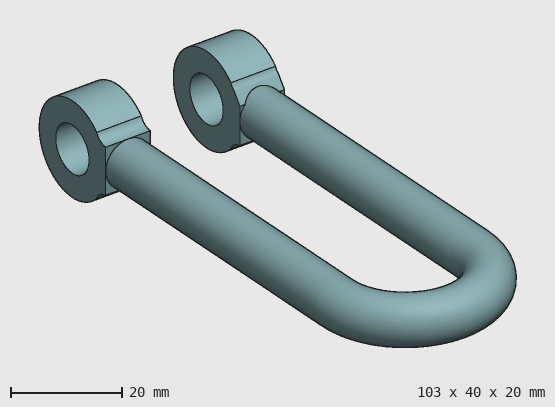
import cadquery as cq
import math

rod_diameter = 10.0
leg_spacing = 30.0
bend_centre_x = 73.0
eye_diameter = 20.0
hole_diameter = 10.0
neck_blend_radius = 2.9
relief_end_z = 3.2
relief_angle = 54.0

rod_radius = rod_diameter / 2
leg_y = leg_spacing / 2
eye_radius = eye_diameter / 2
lug_thickness = rod_diameter
neck_end_x = eye_radius
neck_half_height = rod_radius
rod_start_x = (hole_diameter / 2 + neck_end_x) / 2


def blend_point(angle):
    """Point on the upper blend arc, with the angle measured from straight down towards -X."""
    x = neck_end_x - neck_blend_radius * math.sin(angle)
    z = neck_half_height + neck_blend_radius * (1 - math.cos(angle))
    return x, z


def blend_start_angle():
    """Angle along the upper blend arc at which it meets the eye circle."""
    centre_z = neck_half_height + neck_blend_radius
    centre_distance = math.hypot(neck_end_x, centre_z)
    cosine = (neck_blend_radius**2 + centre_distance**2 - eye_radius**2) / (
        2 * neck_blend_radius * centre_distance
    )
    return math.atan2(neck_end_x, centre_z) + math.acos(cosine)


def mirrored(point):
    """Reflect an (x, z) point to the lower side of the lug."""
    return point[0], -point[1]


def lug(centre_y):
    """Eye with a neck that flares from the rod height up to the eye circle."""
    start_angle = blend_start_angle()
    eye_end = blend_point(start_angle)
    blend_middle = blend_point(start_angle / 2)
    neck_corner = blend_point(0)
    return (
        cq.Workplane("XZ", origin=(0, centre_y, 0))
        .moveTo(*neck_corner)
        .threePointArc(blend_middle, eye_end)
        .threePointArc((-eye_radius, 0), mirrored(eye_end))
        .threePointArc(mirrored(blend_middle), mirrored(neck_corner))
        .close()
        .extrude(lug_thickness / 2, both=True)
    )


def neck_relief(centre_y):
    """Wedge that cuts the upper corner of a neck along a slanted plane."""
    relief_top_z = eye_radius
    relief_run = (relief_top_z - relief_end_z) / math.tan(math.radians(relief_angle))
    return (
        cq.Workplane("XZ", origin=(0, centre_y, 0))
        .moveTo(neck_end_x, relief_end_z)
        .lineTo(neck_end_x, relief_top_z)
        .lineTo(neck_end_x - relief_run, relief_top_z)
        .close()
        .extrude(lug_thickness / 2, both=True)
    )


def bent_rod():
    """Round rod following both legs and the half-circle bend."""
    path = (
        cq.Workplane("XY")
        .moveTo(rod_start_x, -leg_y)
        .lineTo(bend_centre_x, -leg_y)
        .threePointArc((bend_centre_x + leg_y, 0), (bend_centre_x, leg_y))
        .lineTo(rod_start_x, leg_y)
    )
    return cq.Workplane("YZ", origin=(rod_start_x, -leg_y, 0)).circle(rod_radius).sweep(path)


def pin_hole():
    """Cylinder along Y passing through both eyes."""
    hole_length = leg_spacing + lug_thickness
    return cq.Workplane("XZ").circle(hole_diameter / 2).extrude(hole_length / 2, both=True)


plain_lug = lug(-leg_y)
relieved_lug = lug(leg_y).cut(neck_relief(leg_y))

result = bent_rod().union(plain_lug).union(relieved_lug).cut(pin_hole())